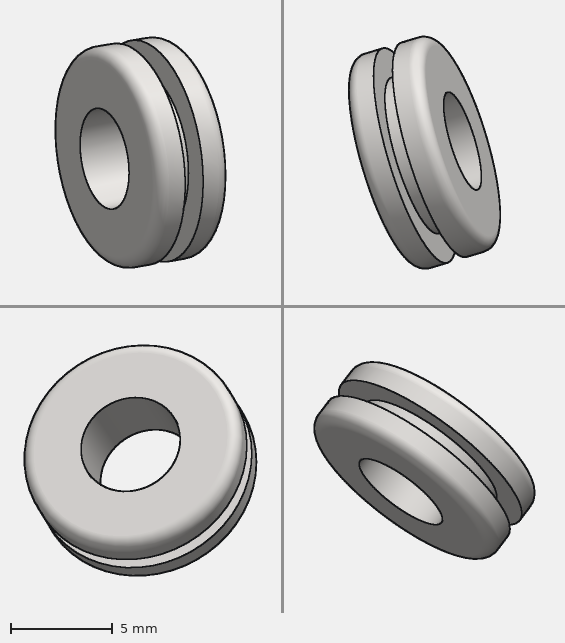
import cadquery as cq

outer_diameter = 11.0
width = 4.0
bore_diameter = 5.0
groove_diameter = 8.0
groove_width = 1.0
rim_radius = 0.6


def cylinder(diameter, length):
    """Cylinder along Y, centred on the origin."""
    return cq.Workplane("XZ", origin=(0, length / 2, 0)).circle(diameter / 2).extrude(length)


body = cylinder(outer_diameter, width).edges().fillet(rim_radius)

groove = cylinder(outer_diameter, groove_width).cut(cylinder(groove_diameter, groove_width))

bore = cylinder(bore_diameter, width)

result = body.cut(groove).cut(bore)